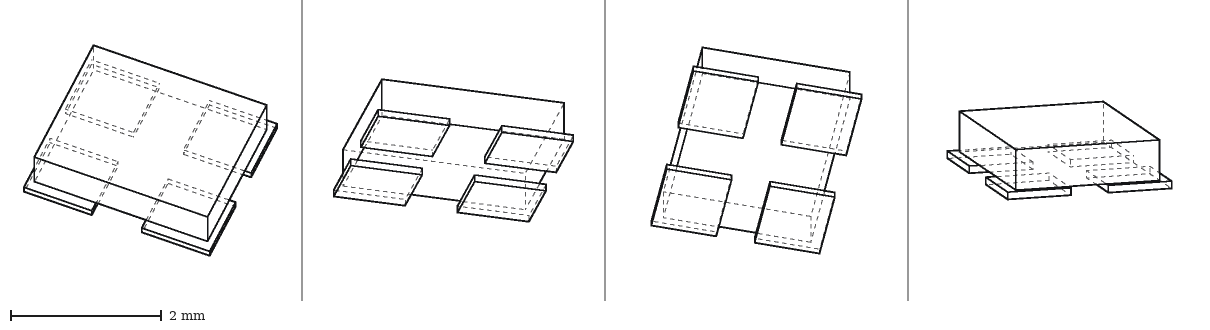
import cadquery as cq

body_length = 2.5
body_width = 2.0
body_height = 0.55

pad_length = 0.98
pad_width = 0.88
pad_thickness = 0.1
pad_span_x = 2.68
pad_span_y = 2.28

pad_center_x = (pad_span_x - pad_length) / 2
pad_center_y = (pad_span_y - pad_width) / 2


def make_body():
    """Rectangular package resting on top of the pads."""
    return (
        cq.Workplane("XY", origin=(0, 0, pad_thickness))
        .rect(body_length, body_width)
        .extrude(body_height)
    )


def make_pad(side_x, side_y):
    """Flat pad at the corner given by the signs side_x and side_y."""
    return (
        cq.Workplane("XY")
        .center(side_x * pad_center_x, side_y * pad_center_y)
        .rect(pad_length, pad_width)
        .extrude(pad_thickness)
    )


body = make_body()
pads = [make_pad(side_x, side_y) for side_x in (-1, 1) for side_y in (-1, 1)]

result = cq.Compound.makeCompound([body.val(), *[pad.val() for pad in pads]])